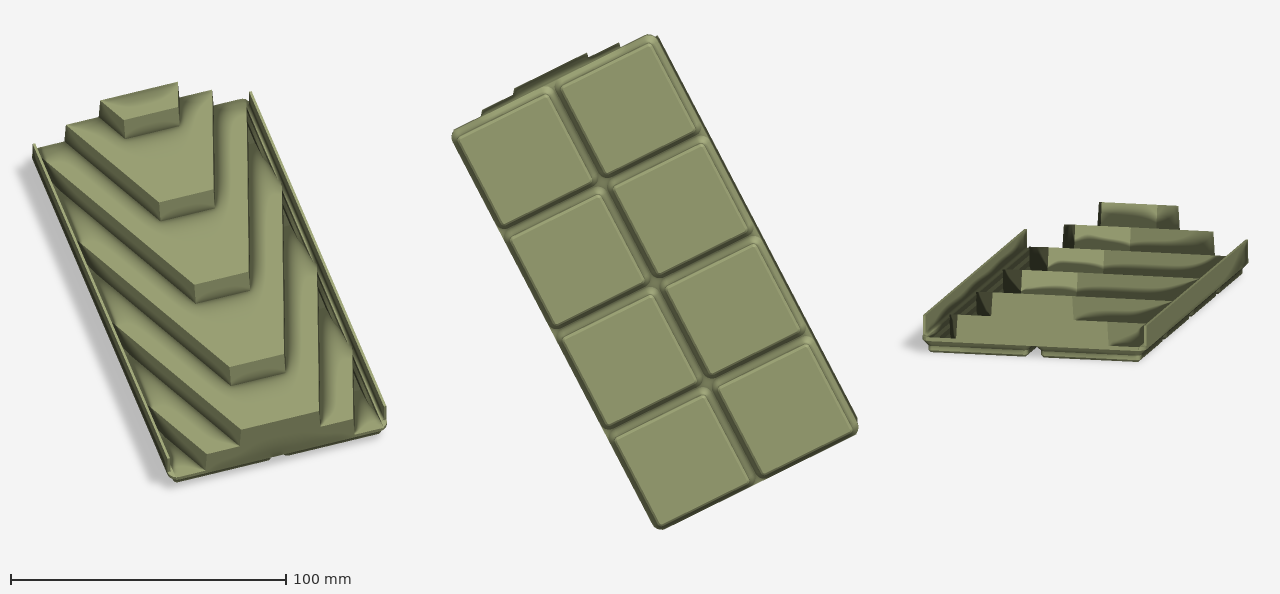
import cadquery as cq
import math

length = 167.5
width = 83.5
height = 27.0

feet_x = 4
feet_y = 2
foot_gap = 0.5
foot_length = (length - (feet_x - 1) * foot_gap) / feet_x
foot_width = (width - (feet_y - 1) * foot_gap) / feet_y
foot_radius = 1.5
foot_chamfer = 0.8
foot_bevel = 2.2
foot_bevel_bottom = 2.5
widening = -45
plate_bottom = foot_bevel_bottom + foot_bevel
plate_top = 6.0
plate_radius = foot_radius + foot_bevel

wall = 0.95
wall_top = 13.4
wall_length = length - 2 * plate_radius
wall_root_radius = 1.0

recess_floor = wall
recess_bevel_bottom = 3.0
recess_bevel = 1.0
recess_bevel_top = recess_bevel_bottom + recess_bevel
recess_inset = foot_bevel + wall
recess_radius = 0.7

channel_floor = 5.0
channel_width = width - 2 * (recess_inset - recess_bevel)

tilt = 12.0
scale_pitch = 41.9
scale_count = 7
first_tip_inset = 14.2
first_tip_x = -length / 2 + first_tip_inset
tip_half_width = 10.4
flare_angle = 17.0
scale_length = 150.8
scale_depth = 67.0


def rounded_prism(size_x, size_y, radius, bottom, rise, taper=0.0):
    """Vertical prism with rounded corners; a negative taper widens it upwards."""
    outline = cq.Sketch().rect(size_x, size_y).vertices().fillet(radius)
    return cq.Workplane("XY").workplane(offset=bottom).placeSketch(outline).extrude(rise, taper=taper)


def foot():
    size_x = foot_length - 2 * foot_bevel
    size_y = foot_width - 2 * foot_bevel
    stem = rounded_prism(size_x, size_y, foot_radius, 0, foot_bevel_bottom)
    stem = stem.faces("<Z").edges().chamfer(foot_chamfer)
    bevel = rounded_prism(size_x, size_y, foot_radius, foot_bevel_bottom, foot_bevel, widening)
    return stem.union(bevel)


def recess():
    size_x = foot_length - 2 * recess_inset
    size_y = foot_width - 2 * recess_inset
    shaft = rounded_prism(size_x, size_y, recess_radius, recess_floor, recess_bevel_bottom - recess_floor)
    bevel = rounded_prism(size_x, size_y, recess_radius, recess_bevel_bottom, recess_bevel, widening)
    mouth = rounded_prism(
        size_x + 2 * recess_bevel,
        size_y + 2 * recess_bevel,
        recess_radius + recess_bevel,
        recess_bevel_top,
        channel_floor - recess_bevel_top,
    )
    return shaft.union(bevel).union(mouth)


def on_foot_grid(shape):
    """Copies of a shape at the centre of every foot."""
    copies = cq.Workplane("XY")
    for column in range(feet_x):
        for row in range(feet_y):
            x = (column - (feet_x - 1) / 2) * (foot_length + foot_gap)
            y = (row - (feet_y - 1) / 2) * (foot_width + foot_gap)
            copies = copies.union(shape.translate((x, y, 0)))
    return copies


def channel():
    rise = plate_top - channel_floor
    block = cq.Workplane("XY").box(length, channel_width, rise, centered=(True, True, False))
    return block.translate((0, 0, channel_floor))


def side_wall():
    """Wall on the -Y edge with a concave fillet at its inner root."""
    outer_y = -width / 2
    inner_y = outer_y + wall
    arc_inset = wall_root_radius * (1 - math.sqrt(0.5))
    return (
        cq.Workplane("YZ", origin=(-wall_length / 2, 0, 0))
        .moveTo(outer_y, plate_bottom)
        .lineTo(inner_y + wall_root_radius, plate_bottom)
        .lineTo(inner_y + wall_root_radius, plate_top)
        .threePointArc(
            (inner_y + arc_inset, plate_top + arc_inset),
            (inner_y, plate_top + wall_root_radius),
        )
        .lineTo(inner_y, wall_top)
        .lineTo(outer_y, wall_top)
        .close()
        .extrude(wall_length)
    )


def tilted_scale(tip_x):
    """Prism, square to the tilted top face, that widens away from its tip."""
    flare = math.tan(math.radians(flare_angle))
    rear_half_width = tip_half_width + flare * scale_length
    outline = [
        (0, -tip_half_width),
        (0, tip_half_width),
        (-scale_length, rear_half_width),
        (-scale_length, -rear_half_width),
    ]
    return (
        cq.Workplane("XY")
        .polyline(outline)
        .close()
        .extrude(-scale_depth)
        .rotate((0, 0, 0), (0, 1, 0), -tilt)
        .translate((tip_x, 0, height))
    )


plate = rounded_prism(length, width, plate_radius, plate_bottom, plate_top - plate_bottom)
hollow = on_foot_grid(recess()).union(channel())
base = plate.union(on_foot_grid(foot())).cut(hollow)

scale_space = hollow.union(rounded_prism(length, width, plate_radius, plate_top, height - plate_top))

result = base
for index in range(scale_count):
    scale = tilted_scale(first_tip_x + index * scale_pitch)
    result = result.union(scale.intersect(scale_space))

front_wall = side_wall()
result = result.union(front_wall).union(front_wall.mirror("XZ")).clean()